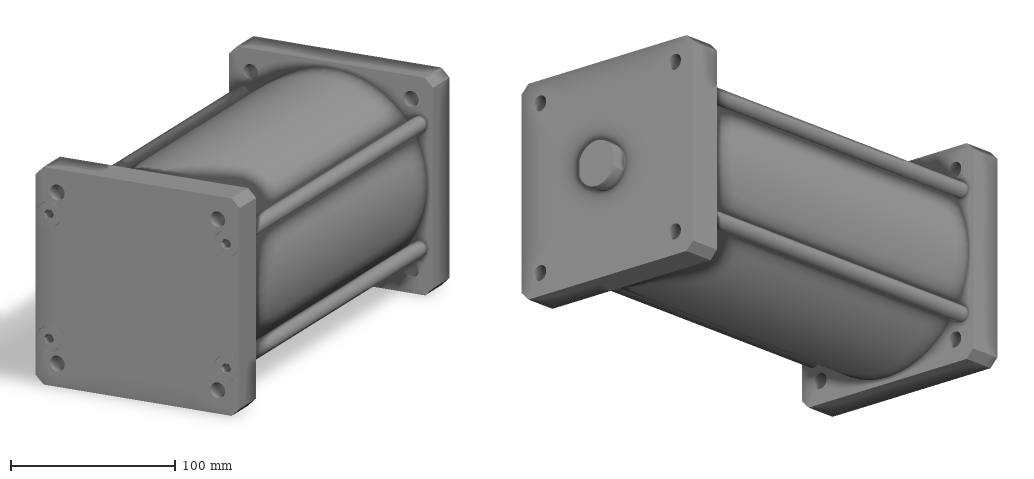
import cadquery as cq
import math

total_length = 288.0
plate_side = 140.0
plate_thickness = 22.0
corner_chamfer = 5.5

mount_hole_diameter = 10.0
mount_hole_offset = 55.0

barrel_diameter = 132.0
rod_diameter = 10.0
rod_offset_x = 60.8
rod_offset_z = 40.0

head_bore_diameter = 16.5
head_diameter = 16.0
head_height = 8.0
socket_across_flats = 6.0
socket_depth = 4.0

boss_length = 10.0
boss_diameter = 30.0
boss_tip_diameter = 29.5
boss_taper_length = 2.0
boss_across_flats = 28.0
boss_collar_length = 1.0

rear_face = total_length / 2
rear_plate_outer = rear_face - boss_length
rear_plate_inner = rear_plate_outer - plate_thickness
front_face = -total_length / 2
front_plate_inner = front_face + plate_thickness
barrel_length = rear_plate_inner - front_plate_inner

mount_points = [(x, z) for x in (-mount_hole_offset, mount_hole_offset)
                for z in (-mount_hole_offset, mount_hole_offset)]
rod_points = [(x, z) for x in (-rod_offset_x, rod_offset_x)
              for z in (-rod_offset_z, rod_offset_z)]


def section_at(y):
    """Workplane across the axis at y, with local axes X and Z and its normal toward +Y."""
    plane = cq.Plane(origin=(0, y, 0), xDir=(1, 0, 0), normal=(0, 1, 0))
    return cq.Workplane(plane)


def end_plate(start_y):
    """Square plate with chamfered corners and four mounting holes."""
    plate = section_at(start_y).rect(plate_side, plate_side).extrude(plate_thickness)
    plate = plate.edges("|Y").chamfer(corner_chamfer)
    hole_circles = section_at(start_y).pushPoints(mount_points).circle(mount_hole_diameter / 2)
    holes = hole_circles.extrude(plate_thickness)
    return plate.cut(holes)


def barrel_and_rods():
    """Solid barrel and four tie rods spanning the gap between the plates."""
    barrel = section_at(front_plate_inner).circle(barrel_diameter / 2).extrude(barrel_length)
    rod_circles = section_at(front_plate_inner).pushPoints(rod_points).circle(rod_diameter / 2)
    rods = rod_circles.extrude(barrel_length)
    return barrel, rods


def screw_head_cuts():
    """Thin clearance ring around each flush screw head, and its hexagon socket."""
    rings = (
        section_at(front_face)
        .pushPoints(rod_points)
        .circle(head_bore_diameter / 2)
        .circle(head_diameter / 2)
        .extrude(head_height)
    )
    socket_across_corners = socket_across_flats / math.cos(math.pi / 6)
    socket_hexagons = section_at(front_face).pushPoints(rod_points).polygon(6, socket_across_corners)
    sockets = socket_hexagons.extrude(socket_depth)
    return rings, sockets


def rear_boss():
    """Round boss with a slightly tapered tip and two flats facing -X and +X above a collar."""
    taper_start = rear_face - boss_taper_length
    boss = (
        cq.Workplane("XY")
        .moveTo(0, rear_plate_outer)
        .lineTo(boss_diameter / 2, rear_plate_outer)
        .lineTo(boss_diameter / 2, taper_start)
        .lineTo(boss_tip_diameter / 2, rear_face)
        .lineTo(0, rear_face)
        .close()
        .revolve(360, (0, 0, 0), (0, 1, 0))
    )
    collar = section_at(rear_plate_outer).circle(boss_diameter / 2).extrude(boss_collar_length)
    flats = section_at(rear_plate_outer).rect(boss_across_flats, boss_diameter).extrude(boss_length)
    return boss.intersect(flats).union(collar)


result = end_plate(front_face).union(end_plate(rear_plate_inner))
for body in barrel_and_rods():
    result = result.union(body)
result = result.union(rear_boss())
for cutter in screw_head_cuts():
    result = result.cut(cutter)